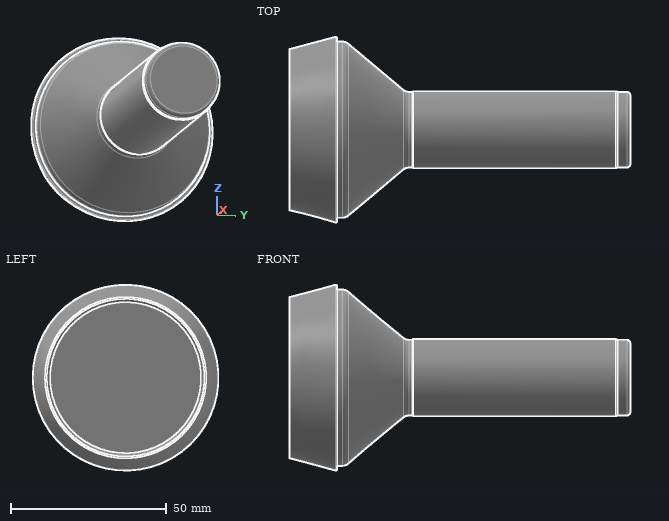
import cadquery as cq
import math

total_length = 110.0

cutting_diameter = 60.0
lead_angle = 15.0
ring_length = 15.4
corner_radius = 0.5
rim_width = 0.6
recess_depth = 1.15
recess_floor_diameter = 48.7

collar_diameter = 57.0
collar_end = 17.0
neck_angle = 40.0
neck_blend_radius = 3.0
relief_diameter = 24.5
shank_diameter = 25.0
shank_start = 40.0
shank_end = 105.2
shank_front_chamfer = 0.35
shank_rear_chamfer = 0.6
end_radius = 1.25

cutting_radius = cutting_diameter / 2
lead = math.radians(lead_angle)
corner_center_x = ring_length - corner_radius
corner_center_radius = cutting_radius - corner_radius
flank_end_x = corner_center_x - corner_radius * math.sin(lead)
flank_end_radius = corner_center_radius + corner_radius * math.cos(lead)
rim_outer_radius = flank_end_radius - flank_end_x * math.tan(lead)
rim_inner_radius = rim_outer_radius - rim_width
floor_radius = recess_floor_diameter / 2
collar_radius = collar_diameter / 2
relief_radius = relief_diameter / 2
shank_radius = shank_diameter / 2


def point_on_blend(start, radius, angle, side):
    """Point reached on an arc that leaves X = start parallel to the axis.

    side is -1 when the arc falls below the given radius, +1 when it rises above it;
    a falling arc runs toward +X, a rising one toward -X.
    """
    turn = math.radians(angle)
    along = neck_blend_radius * math.sin(turn)
    across = neck_blend_radius * (1 - math.cos(turn))
    return (start - side * along, radius + side * across)


def revolve_about_x(profile):
    return profile.close().revolve(360, (0, 0, 0), (1, 0, 0))


def make_cutting_ring():
    profile = (
        cq.Workplane("XY")
        .moveTo(0, rim_inner_radius)
        .lineTo(0, rim_outer_radius)
        .lineTo(flank_end_x, flank_end_radius)
        .threePointArc((corner_center_x, cutting_radius), (ring_length, corner_center_radius))
        .lineTo(ring_length, floor_radius)
        .lineTo(recess_depth, floor_radius)
    )
    return revolve_about_x(profile)


def make_holder():
    cone_front = point_on_blend(collar_end, collar_radius, neck_angle, -1)
    collar_blend_middle = point_on_blend(collar_end, collar_radius, neck_angle / 2, -1)

    cone_rear_radius = point_on_blend(0, relief_radius, neck_angle, 1)[1]
    cone_length = (cone_front[1] - cone_rear_radius) / math.tan(math.radians(neck_angle))
    cone_rear = (cone_front[0] + cone_length, cone_rear_radius)
    relief_start = cone_rear[0] + neck_blend_radius * math.sin(math.radians(neck_angle))
    relief_blend_middle = point_on_blend(relief_start, relief_radius, neck_angle / 2, 1)

    diagonal = math.sqrt(0.5)
    end_arc_middle = (
        total_length - end_radius * (1 - diagonal),
        relief_radius - end_radius * (1 - diagonal),
    )

    profile = (
        cq.Workplane("XY")
        .moveTo(recess_depth, 0)
        .lineTo(recess_depth, floor_radius)
        .lineTo(ring_length, floor_radius)
        .lineTo(ring_length, collar_radius)
        .lineTo(collar_end, collar_radius)
        .threePointArc(collar_blend_middle, cone_front)
        .lineTo(*cone_rear)
        .threePointArc(relief_blend_middle, (relief_start, relief_radius))
        .lineTo(shank_start - shank_front_chamfer, relief_radius)
        .lineTo(shank_start, shank_radius)
        .lineTo(shank_end, shank_radius)
        .lineTo(shank_end + shank_rear_chamfer, relief_radius)
        .lineTo(total_length - end_radius, relief_radius)
        .threePointArc(end_arc_middle, (total_length, relief_radius - end_radius))
        .lineTo(total_length, 0)
    )
    return revolve_about_x(profile)


cutting_ring = make_cutting_ring()
holder = make_holder()

result = cq.Compound.makeCompound([cutting_ring.val(), holder.val()])